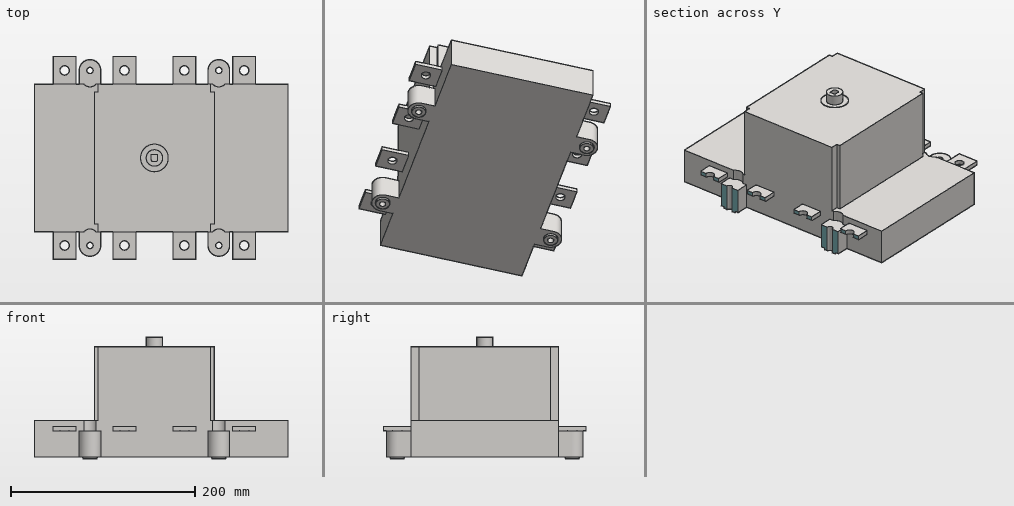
import cadquery as cq

base_length = 275.0
base_width = 160.0
base_height = 40.0

tower_x = -7.5
tower_length = 130.0
tower_height = 79.8
corner_step_x = 4.0
corner_step_y = 8.5

recess_diameter = 30.0
recess_depth = 0.5
shaft_diameter = 18.0
shaft_height = 10.5
socket_length = 7.0
socket_width = 7.5
socket_depth = shaft_height
socket_corner_radius = 1.6

overall_width = 220.0
terminal_count = 4
terminal_pitch = 65.0
terminal_width = 25.0
terminal_thickness = 5.0
terminal_hole_diameter = 10.0

hole_row_y = 95.0
lug_spacing = 139.7
lug_width = 23.6
lug_height = 28.3
lug_hole_diameter = 6.5
foot_top_diameter = 16.2
foot_taper = 20.0
foot_height = 2.0

scallop_radius = 8.8
scallop_depth = 3.0

half_width = base_width / 2
tower_top = base_height + tower_height
lug_positions = [
    (tower_x + side_x * lug_spacing / 2, side_y)
    for side_x in (-1, 1)
    for side_y in (-1, 1)
]


def block(length, width, height, x, y, z):
    """Box centred on (x, y) and standing on height z."""
    return cq.Workplane("XY").box(length, width, height, centered=(True, True, False)).translate((x, y, z))


def cylinder(diameter, height, x, y, z):
    """Upright cylinder standing on height z."""
    return cq.Workplane("XY").circle(diameter / 2).extrude(height).translate((x, y, z))


def make_tower():
    """Tower with a shallow step along each vertical corner and a recess in its top."""
    wide_middle = block(tower_length, base_width - 2 * corner_step_y, tower_height, tower_x, 0, base_height)
    narrow_core = block(tower_length - 2 * corner_step_x, base_width, tower_height, tower_x, 0, base_height)
    recess = cylinder(recess_diameter, recess_depth, tower_x, 0, tower_top - recess_depth)
    return wide_middle.union(narrow_core).cut(recess)


def make_shaft():
    """Round shaft rising from the recess floor, with a blind socket in its top."""
    shaft = cylinder(shaft_diameter, recess_depth + shaft_height, tower_x, 0, tower_top - recess_depth)
    socket_floor = tower_top + shaft_height - socket_depth
    socket = block(socket_length, socket_width, socket_depth, tower_x, 0, socket_floor)
    socket = socket.edges("|Z").edges("<Y").fillet(socket_corner_radius)
    return shaft.cut(socket)


def make_terminal(x, side):
    """Flat drilled terminal sticking out of the base wall on one side."""
    reach = overall_width / 2 - half_width
    center_y = side * (half_width + reach / 2)
    plate = block(terminal_width, reach, terminal_thickness, x, center_y, lug_height)
    hole = cylinder(terminal_hole_diameter, terminal_thickness, x, side * hole_row_y, lug_height)
    return plate.cut(hole)


def make_lug(x, side):
    """Round-ended lug with a tapered foot, drilled through."""
    reach = hole_row_y - half_width
    neck = block(lug_width, reach, lug_height, x, side * (half_width + reach / 2), 0)
    end = cylinder(lug_width, lug_height, x, side * hole_row_y, 0)
    foot = cq.Workplane("XY").circle(foot_top_diameter / 2).extrude(-foot_height, taper=foot_taper)
    foot = foot.translate((x, side * hole_row_y, 0))
    hole = cylinder(lug_hole_diameter, foot_height + lug_height, x, side * hole_row_y, -foot_height)
    return neck.union(end).union(foot).cut(hole)


def make_scallop(x, side):
    """Cutter for the round relief in the base wall above a lug."""
    center_y = side * (half_width - scallop_depth + scallop_radius)
    return cylinder(2 * scallop_radius, base_height - lug_height, x, center_y, lug_height)


body = block(base_length, base_width, base_height, 0, 0, 0)
for lug_x, lug_side in lug_positions:
    body = body.cut(make_scallop(lug_x, lug_side))

body = body.union(make_tower()).union(make_shaft())

for lug_x, lug_side in lug_positions:
    body = body.union(make_lug(lug_x, lug_side))

for index in range(terminal_count):
    terminal_x = tower_x + (index - (terminal_count - 1) / 2) * terminal_pitch
    for terminal_side in (-1, 1):
        body = body.union(make_terminal(terminal_x, terminal_side))

result = body